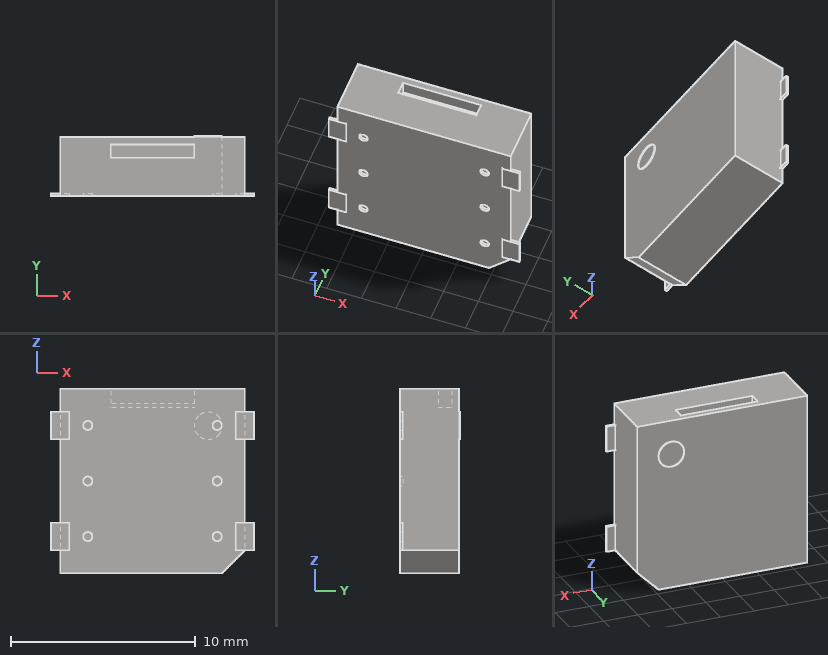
import cadquery as cq

overall_width = 11.0
overall_depth = 3.25
housing_side = 10.0
mark_height = 0.04
housing_depth = overall_depth - mark_height
corner_chamfer = 1.25

slot_length = 4.5
slot_width = 0.75
slot_back_wall = 0.4
slot_depth = 1.0
slot_ledge_height = 0.2
slot_ledge_width = 0.04

row_pitch = 3.0
hole_diameter = 0.5
hole_depth = 0.15
hole_offset = 3.5
mark_diameter = 1.5

pad_width = 1.0
pad_height = 1.5
pad_thickness = 0.14
pad_offset = (overall_width - pad_width) / 2


def block(width, depth, height, x, front_y, z):
    """Box centred on x and z, reaching back from front_y."""
    return cq.Workplane("XY").box(width, depth, height).translate((x, front_y + depth / 2, z))


def make_pad(x, z):
    return block(pad_width, pad_thickness, pad_height, x, 0, z)


def make_round(diameter, length, x, front_y, z):
    """Cylinder along Y, reaching back from front_y."""
    return cq.Workplane("XZ").circle(diameter / 2).extrude(-length).translate((x, front_y, z))


def make_slot():
    """Cutter for the sound slot, leaving a narrow ledge at the foot of its back wall."""
    back_y = housing_depth - slot_back_wall
    top_z = housing_side / 2
    floor_z = top_z - slot_depth
    slot = block(slot_length, slot_width, slot_depth, 0, back_y - slot_width, (top_z + floor_z) / 2)
    ledge_z = floor_z + slot_ledge_height / 2
    ledge = block(slot_length, slot_ledge_width, slot_ledge_height, 0, back_y - slot_ledge_width, ledge_z)
    return slot.cut(ledge)


def make_housing(pads):
    body = block(housing_side, housing_depth, housing_side, 0, 0, 0)
    body = body.edges("|Y and >X and <Z").chamfer(corner_chamfer)

    body = body.cut(make_slot())

    for x in (-hole_offset, hole_offset):
        for z in (-row_pitch, 0, row_pitch):
            body = body.cut(make_round(hole_diameter, hole_depth, x, 0, z))

    for pad in pads:
        body = body.cut(pad)

    return body.union(make_round(mark_diameter, mark_height, row_pitch, housing_depth, row_pitch))


pads = []
for pad_x in (-pad_offset, pad_offset):
    for pad_z in (-row_pitch, row_pitch):
        pads.append(make_pad(pad_x, pad_z))

housing = make_housing(pads)

result = cq.Compound.makeCompound([housing.val(), *[pad.val() for pad in pads]])